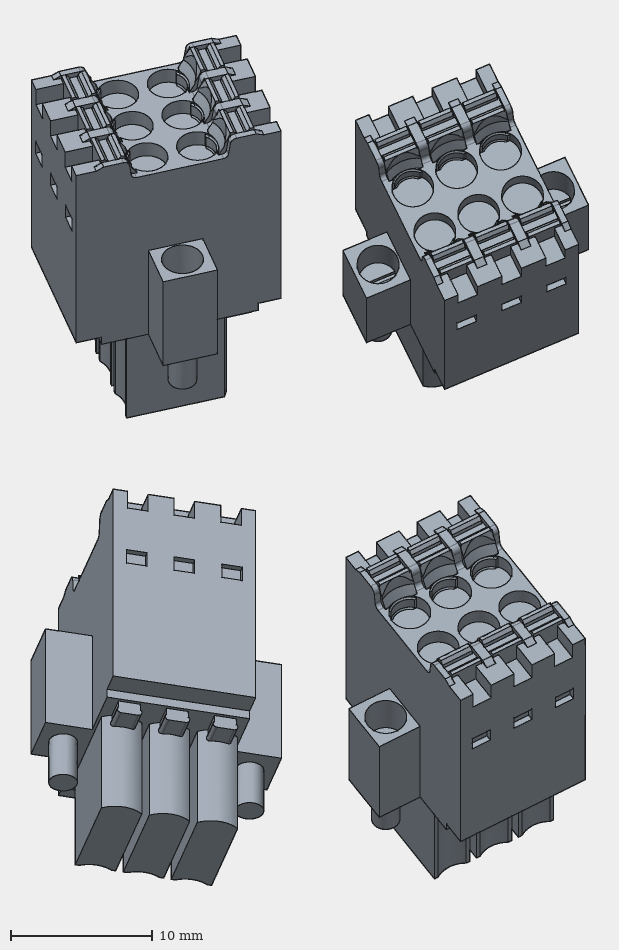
import cadquery as cq

PRONG_LENGTH = 7.87
SHOULDER_STEP = 0.68
TOTAL_HEIGHT = 25.05
BASE_BOTTOM = PRONG_LENGTH
SHOULDER_BOTTOM = BASE_BOTTOM + SHOULDER_STEP
DECK_TOP = 23.25
RIM_TOP = 24.7
SEPARATOR_TOP = 24.95

HOUSING_WIDTH = 10.42
HOUSING_DEPTH = 15.2
HOUSING_CENTER_Y = -0.1
HOUSING_FRONT = HOUSING_CENTER_Y - HOUSING_DEPTH / 2
BASE_DEPTH = 11.62

POLE_COUNT = 3
POLE_PITCH = 3.4
ROW_SIDES = (-1, 1)

SEPARATOR_OUTER = 6.2
SEPARATOR_OUTER_TOP = 5.65
SEPARATOR_INNER_TOP = 4.2
SEPARATOR_FACE_TOP = 3.73
SEPARATOR_FACE_BOTTOM = 3.6
SEPARATOR_TOE = 3.23
SEPARATOR_ROUND = SEPARATOR_INNER_TOP - SEPARATOR_FACE_TOP
SEPARATOR_TOE_ROUND = SEPARATOR_FACE_BOTTOM - SEPARATOR_TOE

WIRE_HOLE_RADIUS = 1.48
WIRE_HOLE_OFFSET = 1.88
WIRE_HOLE_DEPTH = 1.25
WIRE_HOLE_FLOOR = DECK_TOP - WIRE_HOLE_DEPTH

LEVER_WIDTH = 2.65
LEVER_INNER = 3.03
LEVER_OUTER = 5.65
LEVER_KNEE_LOW = 23.7
LEVER_KNEE_HIGH = 24.35
LEVER_KNEE_Y = 3.58
LEVER_TOP_INNER = 3.88
NOSE_INNER = 2.8
NOSE_RADIUS = 1.35
TOE_RADIUS = 1.25
EDGE_HEIGHT = 0.13
FUNNEL_OFFSET = 1.13
FUNNEL_BOTTOM = 23.12
FUNNEL_BOTTOM_RADIUS = WIRE_HOLE_OFFSET + WIRE_HOLE_RADIUS - FUNNEL_OFFSET
FUNNEL_KNEE = 23.92
FUNNEL_KNEE_RADIUS = 2.65
FUNNEL_TOP_RADIUS = LEVER_TOP_INNER - FUNNEL_OFFSET
GROOVE_CENTER = (LEVER_TOP_INNER + LEVER_OUTER) / 2
GROOVE_HALF_TOP = 0.6
GROOVE_HALF_STEP = 0.35
GROOVE_HALF_FLOOR = 0.28
GROOVE_DEPTH = 0.5
GRIP_SIDE_NOTCH = 0.1

SLOT_WIDTH = 1.5
WINDOW_WIDTH = 1.5
WINDOW_HEIGHT = 1.15
WINDOW_BOTTOM = 18.49
WINDOW_DEPTH = 0.45
WINDOW_PITCH = 3.48

PRONG_PITCH = 3.5
PRONG_WIDTH = 2.95
PRONG_DEPTH = 7.77
PRONG_BACK_RISE = 0.53
PRONG_GROOVE_WIDTH = 2.35
PRONG_GROOVE_DEPTH = 0.35
RIB_REACH = 5.55
RIB_WEB_WIDTH = 1.6
RIB_BEAD_WIDTH = 1.8
RIB_BEAD_HEIGHT = 0.55
RIB_HEIGHT = 0.98

FLANGE_REACH = 17.25
FLANGE_DEPTH = 4.03
FLANGE_TOP = 15.95
FLANGE_CENTER_Y = -0.33
SCREW_OFFSET = 6.81
SCREW_XS = (-SCREW_OFFSET, SCREW_OFFSET)
BORE_DIAMETER = 2.95
BORE_DEPTH = 4.0
BORE_FLOOR = FLANGE_TOP - BORE_DEPTH
HEAD_DIAMETER = 2.8
HEAD_HEIGHT = 1.0
SHANK_DIAMETER = 2.03
SCREW_TIP = 4.35
DRIVE_SLOT_WIDTH = 0.38
DRIVE_SLOT_DEPTH = 0.38


def pole_row(pitch):
    """X places of one feature per pole, centred on X = 0."""
    return [(i - (POLE_COUNT - 1) / 2) * pitch for i in range(POLE_COUNT)]


def box(width, y_start, y_end, z_start, z_end, center_x=0.0):
    """Box centred on center_x in X, between the given limits in Y and Z."""
    depth = y_end - y_start
    height = z_end - z_start
    center = (center_x, y_start + depth / 2, z_start)
    return cq.Workplane("XY").box(width, depth, height, centered=(True, True, False)).translate(center)


def cylinder(diameter, x, y, z_start, z_end):
    """Upright cylinder."""
    plane = cq.Workplane("XY", origin=(x, y, z_start))
    return plane.circle(diameter / 2).extrude(z_end - z_start)


def turned(profile):
    """Solid of revolution about Z from (radius, height) points listed from bottom to top."""
    outline = [(0, profile[0][1]), *profile, (0, profile[-1][1])]
    return cq.Workplane("XZ").polyline(outline).close().revolve(360, (0, 0, 0), (0, 1, 0))


def on_side(shape, side):
    """Keep a back-row shape as it is, or mirror it into the front row."""
    return shape if side > 0 else shape.mirror("XZ")


def separator_wall():
    """Raised back-row wall, full housing width, out of which the lever pockets are cut."""
    face_top_z = SEPARATOR_TOP - SEPARATOR_ROUND
    toe_z = DECK_TOP + SEPARATOR_TOE_ROUND
    outline = (
        cq.Workplane("YZ")
        .moveTo(SEPARATOR_TOE, DECK_TOP)
        .radiusArc((SEPARATOR_FACE_BOTTOM, toe_z), -SEPARATOR_TOE_ROUND)
        .lineTo(SEPARATOR_FACE_TOP, face_top_z)
        .radiusArc((SEPARATOR_INNER_TOP, SEPARATOR_TOP), SEPARATOR_ROUND)
        .lineTo(SEPARATOR_OUTER_TOP, SEPARATOR_TOP)
        .lineTo(SEPARATOR_OUTER, RIM_TOP)
        .lineTo(SEPARATOR_OUTER, DECK_TOP)
        .close()
    )
    return outline.extrude(HOUSING_WIDTH / 2, both=True)


def lever_block():
    """Back-row lever at X = 0: grooved top, knee-shaped inner face hollowed by a funnel."""
    groove_floor = TOTAL_HEIGHT - GROOVE_DEPTH
    groove_step = TOTAL_HEIGHT - GROOVE_DEPTH / 2
    profile = [
        (LEVER_INNER, WIRE_HOLE_FLOOR),
        (LEVER_INNER, LEVER_KNEE_LOW),
        (LEVER_KNEE_Y, LEVER_KNEE_HIGH),
        (LEVER_TOP_INNER, TOTAL_HEIGHT),
        (GROOVE_CENTER - GROOVE_HALF_TOP, TOTAL_HEIGHT),
        (GROOVE_CENTER - GROOVE_HALF_STEP, groove_step),
        (GROOVE_CENTER - GROOVE_HALF_FLOOR, groove_floor),
        (GROOVE_CENTER + GROOVE_HALF_FLOOR, groove_floor),
        (GROOVE_CENTER + GROOVE_HALF_STEP, groove_step),
        (GROOVE_CENTER + GROOVE_HALF_TOP, TOTAL_HEIGHT),
        (LEVER_OUTER, TOTAL_HEIGHT),
        (LEVER_OUTER, WIRE_HOLE_FLOOR),
    ]
    block = cq.Workplane("YZ").polyline(profile).close().extrude(LEVER_WIDTH / 2, both=True)
    nose = cylinder(2 * WIRE_HOLE_RADIUS, 0, WIRE_HOLE_OFFSET, WIRE_HOLE_FLOOR, DECK_TOP)
    nose = nose.intersect(box(LEVER_WIDTH, NOSE_INNER, LEVER_OUTER, WIRE_HOLE_FLOOR, DECK_TOP))
    block = block.union(nose)
    nose_bore = turned([
        (TOE_RADIUS, WIRE_HOLE_FLOOR),
        (NOSE_RADIUS, WIRE_HOLE_FLOOR + EDGE_HEIGHT),
        (NOSE_RADIUS, FUNNEL_BOTTOM - EDGE_HEIGHT),
        (WIRE_HOLE_RADIUS, FUNNEL_BOTTOM),
        (WIRE_HOLE_RADIUS, TOTAL_HEIGHT),
    ])
    funnel = turned([
        (FUNNEL_BOTTOM_RADIUS, FUNNEL_BOTTOM),
        (FUNNEL_KNEE_RADIUS, FUNNEL_KNEE),
        (FUNNEL_TOP_RADIUS, TOTAL_HEIGHT),
    ])
    block = block.cut(nose_bore.translate((0, WIRE_HOLE_OFFSET, 0)))
    block = block.cut(funnel.translate((0, FUNNEL_OFFSET, 0)))
    for side in (-1, 1):
        notch_x = side * (LEVER_WIDTH - GRIP_SIDE_NOTCH) / 2
        block = block.cut(
            box(GRIP_SIDE_NOTCH, LEVER_TOP_INNER, LEVER_OUTER, groove_floor, TOTAL_HEIGHT, notch_x)
        )
    return block


def prong(x):
    """Contact prong with an arched back, a concave front and a beaded keying rib at its root."""
    half_width = PRONG_WIDTH / 2
    half_groove = PRONG_GROOVE_WIDTH / 2
    back = PRONG_DEPTH / 2
    side_end = back - PRONG_BACK_RISE
    body = (
        cq.Workplane("XY")
        .moveTo(-half_width, -back)
        .lineTo(-half_groove, -back)
        .threePointArc((0, -back + PRONG_GROOVE_DEPTH), (half_groove, -back))
        .lineTo(half_width, -back)
        .lineTo(half_width, side_end)
        .threePointArc((0, back), (-half_width, side_end))
        .close()
        .extrude(PRONG_LENGTH)
    )
    rib_bottom = BASE_BOTTOM - RIB_HEIGHT
    bead_z = rib_bottom + RIB_BEAD_HEIGHT / 2
    bead_plane = cq.Workplane("XZ", origin=(0, 0, bead_z))
    bead = bead_plane.slot2D(RIB_BEAD_WIDTH, RIB_BEAD_HEIGHT).extrude(-RIB_REACH)
    web = box(RIB_WEB_WIDTH, 0, RIB_REACH, bead_z, BASE_BOTTOM)
    return body.union(web).union(bead).translate((x, 0, 0))


def build_housing():
    back = HOUSING_FRONT + HOUSING_DEPTH
    housing = box(HOUSING_WIDTH, HOUSING_FRONT, back, SHOULDER_BOTTOM, RIM_TOP)
    housing = housing.union(box(HOUSING_WIDTH, -BASE_DEPTH / 2, BASE_DEPTH / 2, BASE_BOTTOM, DECK_TOP))
    housing = housing.union(
        box(
            FLANGE_REACH,
            FLANGE_CENTER_Y - FLANGE_DEPTH / 2,
            FLANGE_CENTER_Y + FLANGE_DEPTH / 2,
            BASE_BOTTOM,
            FLANGE_TOP,
        )
    )

    housing = housing.cut(box(HOUSING_WIDTH, -SEPARATOR_OUTER, SEPARATOR_OUTER, DECK_TOP, RIM_TOP))
    for side in ROW_SIDES:
        housing = housing.union(on_side(separator_wall(), side))

    for x in pole_row(POLE_PITCH):
        for side in ROW_SIDES:
            wire_hole = cylinder(2 * WIRE_HOLE_RADIUS, x, WIRE_HOLE_OFFSET, WIRE_HOLE_FLOOR, DECK_TOP)
            pocket = box(LEVER_WIDTH, LEVER_INNER, LEVER_OUTER, WIRE_HOLE_FLOOR, TOTAL_HEIGHT, x)
            slot = box(SLOT_WIDTH, LEVER_OUTER, HOUSING_DEPTH, DECK_TOP, TOTAL_HEIGHT, x)
            gap = box(LEVER_WIDTH, LEVER_OUTER, SEPARATOR_OUTER, RIM_TOP, TOTAL_HEIGHT, x)
            for cutter in (wire_hole, pocket, slot, gap):
                housing = housing.cut(on_side(cutter, side))

    window_top = WINDOW_BOTTOM + WINDOW_HEIGHT
    for x in pole_row(WINDOW_PITCH):
        for y_start in (HOUSING_FRONT, back - WINDOW_DEPTH):
            housing = housing.cut(
                box(WINDOW_WIDTH, y_start, y_start + WINDOW_DEPTH, WINDOW_BOTTOM, window_top, x)
            )

    for x in pole_row(PRONG_PITCH):
        housing = housing.union(prong(x))

    for x in SCREW_XS:
        housing = housing.cut(cylinder(BORE_DIAMETER, x, FLANGE_CENTER_Y, BORE_FLOOR, FLANGE_TOP))
        housing = housing.cut(cylinder(SHANK_DIAMETER, x, FLANGE_CENTER_Y, BASE_BOTTOM, BORE_FLOOR))
    return housing


def build_lever(x, side):
    return on_side(lever_block(), side).translate((x, 0, 0))


def build_screw(x):
    """Slotted cheese-head screw resting on the bore floor."""
    head_top = BORE_FLOOR + HEAD_HEIGHT
    shank = cylinder(SHANK_DIAMETER, x, FLANGE_CENTER_Y, SCREW_TIP, BORE_FLOOR)
    head = cylinder(HEAD_DIAMETER, x, FLANGE_CENTER_Y, BORE_FLOOR, head_top)
    drive_slot = box(
        HEAD_DIAMETER,
        FLANGE_CENTER_Y - DRIVE_SLOT_WIDTH / 2,
        FLANGE_CENTER_Y + DRIVE_SLOT_WIDTH / 2,
        head_top - DRIVE_SLOT_DEPTH,
        head_top,
        x,
    )
    return shank.union(head).cut(drive_slot)


housing = build_housing()
levers = [build_lever(x, side) for x in pole_row(POLE_PITCH) for side in ROW_SIDES]
screws = [build_screw(x) for x in SCREW_XS]

result = cq.Compound.makeCompound(
    [housing.val()] + [lever.val() for lever in levers] + [screw.val() for screw in screws]
)